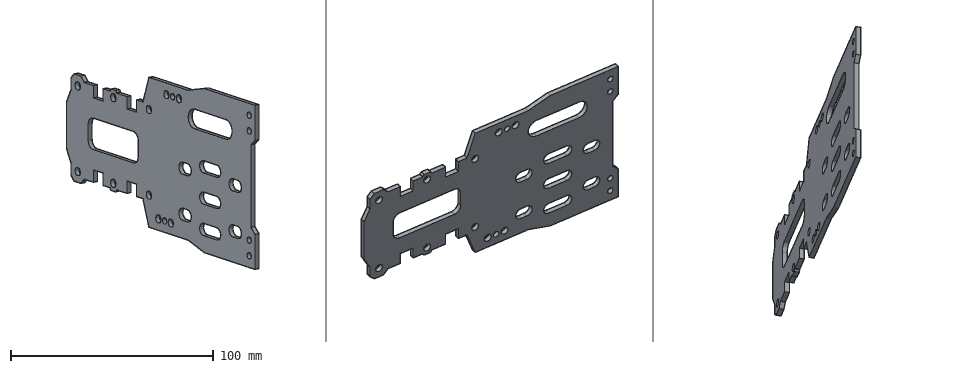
import cadquery as cq

length = 151.0
width = 84.0
thickness = 2.5
half_width = width / 2

nose_half_width = 12.1
neck_half_width = 24.8
ear_half_width = 27.5
ear_start = 3.5
ear_end = 14.0
ear_bottom = 18.7
ear_chamfer = 2.5

notch_width = 7.5
notch_floor = 18.4
notch_centers = (25.4, 52.2)
tab_center = 37.5
tab_width = 5.5
tab_half_width = 26.0
tab_chamfer = 0.9

flare_start = 61.2
shoulder_start = 66.0
shoulder_half_width = 38.4
taper_start = 97.5
taper_end = 110.5

recess_depth = 3.2
recess_mouth = 24.0
recess_floor = 21.1

window_start = 17.4
window_length = 40.0
window_height = 16.0
window_radius = 4.0

large_hole = 4.1
small_hole = 3.2
neck_hole_x = (8.9, tab_center, 66.0)
neck_hole_z = 21.9
corner_hole_x = length - 4.7
corner_hole_z = (28.0, 36.0)
trio_z = 32.5
trio_pitch = 5.0
upper_trio_x = 85.0
lower_trio_x = 78.5

pattern_x = 115.0
pattern_z = -14.2
long_slot_length = 16.8
short_slot_length = 9.8
slot_height = 6.2
long_slot_pitch = 16.0
short_slot_offset_x = 20.1
short_slot_offset_z = 11.8
large_slot_length = 35.0
large_slot_height = 10.0
large_slot_z = 24.8


def front_plane():
    """XZ plane on the +Y face, so that extruding runs toward -Y."""
    return cq.Workplane("XZ", origin=(0, thickness / 2, 0))


def block(x_start, x_end, z_start, z_end):
    """Full-thickness rectangular block between two corners."""
    return (
        front_plane()
        .center((x_start + x_end) / 2, (z_start + z_end) / 2)
        .rect(x_end - x_start, z_end - z_start)
        .extrude(thickness)
    )


def drill(plate, points, diameter):
    cutter = front_plane().pushPoints(points).circle(diameter / 2).extrude(thickness)
    return plate.cut(cutter)


def cut_slots(plate, points, slot_length, height):
    cutter = front_plane().pushPoints(points).slot2D(slot_length, height).extrude(thickness)
    return plate.cut(cutter)


def make_outline():
    """Plate outline, listed along the +Z half and mirrored to the -Z half."""
    upper_half = [
        (0, nose_half_width),
        (ear_start, ear_bottom),
        (ear_start, neck_half_width),
        (flare_start, neck_half_width),
        (shoulder_start, shoulder_half_width),
        (taper_start, shoulder_half_width),
        (taper_end, half_width),
        (length, half_width),
        (length, recess_mouth),
        (length - recess_depth, recess_floor),
    ]
    lower_half = [(x, -z) for x, z in reversed(upper_half)]
    return front_plane().polyline(upper_half + lower_half).close().extrude(thickness)


def add_edge_pad(plate, x_start, x_end, pad_half_width, chamfer):
    """Add a pad with chamfered outer corners to both long edges of the neck."""
    pad = block(x_start, x_end, -pad_half_width, pad_half_width).edges("|Y").chamfer(chamfer)
    core = block(x_start, x_end, -neck_half_width, neck_half_width)
    return plate.union(pad.cut(core))


def cut_notches(plate):
    for x in notch_centers:
        for side in (-1, 1):
            z_range = sorted((side * notch_floor, side * ear_half_width))
            plate = plate.cut(block(x - notch_width / 2, x + notch_width / 2, *z_range))
    return plate


def cut_window(plate):
    window = block(window_start, window_start + window_length, -window_height / 2, window_height / 2)
    return plate.cut(window.edges("|Y").fillet(window_radius))


def drill_holes(plate):
    neck_points = [(x, side * neck_hole_z) for x in neck_hole_x for side in (-1, 1)]
    corner_points = [(corner_hole_x, side * z) for z in corner_hole_z for side in (-1, 1)]
    plate = drill(plate, neck_points, large_hole)
    plate = drill(plate, corner_points, small_hole)
    for x, z in ((upper_trio_x, trio_z), (lower_trio_x, -trio_z)):
        plate = drill(plate, [(x, z)], small_hole)
        plate = drill(plate, [(x - trio_pitch, z), (x + trio_pitch, z)], large_hole)
    return plate


def cut_slot_pattern(plate):
    long_points = [(pattern_x, pattern_z + row * long_slot_pitch) for row in (-1, 0, 1)]
    short_points = [
        (pattern_x + i * short_slot_offset_x, pattern_z + j * short_slot_offset_z)
        for i in (-1, 1)
        for j in (-1, 1)
    ]
    plate = cut_slots(plate, long_points, long_slot_length, slot_height)
    plate = cut_slots(plate, short_points, short_slot_length, slot_height)
    return cut_slots(plate, [(pattern_x, large_slot_z)], large_slot_length, large_slot_height)


plate = make_outline()
plate = add_edge_pad(plate, ear_start, ear_end, ear_half_width, ear_chamfer)
tab_start = tab_center - tab_width / 2
plate = add_edge_pad(plate, tab_start, tab_start + tab_width, tab_half_width, tab_chamfer)
plate = cut_notches(plate)
plate = cut_window(plate)
plate = drill_holes(plate)
result = cut_slot_pattern(plate)